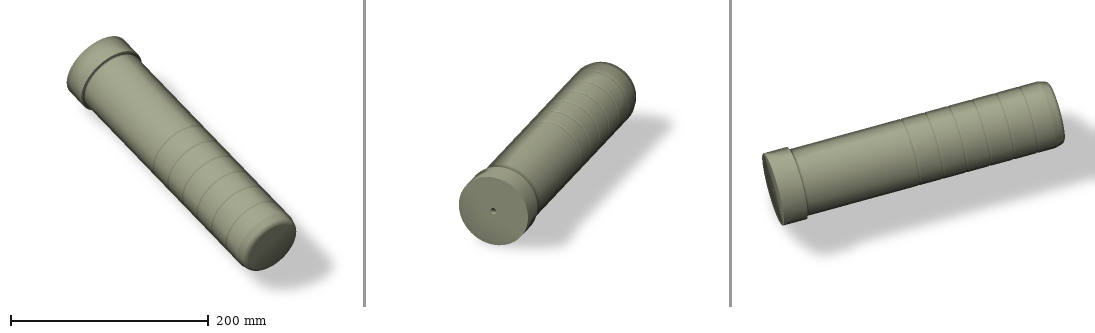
import cadquery as cq
import math

length = 300.0
head_diameter = 76.0
head_length = 25.0
body_diameter = 70.0

relief_width = 1.8
relief_depth = 1.0

groove_count = 6
first_groove_x = 144.5
groove_pitch = length / 12
groove_width = 3.0
groove_depth = 0.5

lead_length = 10.8
lead_angle = math.radians(15)
nose_radius = 5.0

centre_mouth_diameter = 6.5
centre_pilot_diameter = 3.3
centre_cone_angle = math.radians(60)
centre_pilot_depth = 4.0

head_radius = head_diameter / 2
body_radius = body_diameter / 2


def revolve_about_x(profile):
    """Turn a closed profile, drawn as X and radius, about the X axis."""
    return profile.close().revolve(360, (0, 0, 0), (1, 0, 0))


def make_pin():
    """Head, relief and body with its tapered and rounded tip."""
    relief_end = head_length + relief_width
    relief_radius = body_radius - relief_depth
    nose_x = length - nose_radius
    taper_start = length - lead_length
    taper_end = nose_x + nose_radius * math.sin(lead_angle)
    taper_end_radius = body_radius - (taper_end - taper_start) * math.tan(lead_angle)
    nose_centre_radius = taper_end_radius - nose_radius * math.cos(lead_angle)
    middle_angle = (lead_angle + math.pi / 2) / 2
    nose_middle = (
        nose_x + nose_radius * math.sin(middle_angle),
        nose_centre_radius + nose_radius * math.cos(middle_angle),
    )
    return revolve_about_x(
        cq.Workplane("XY")
        .lineTo(0, head_radius)
        .lineTo(head_length, head_radius)
        .lineTo(head_length, relief_radius)
        .lineTo(relief_end, relief_radius)
        .lineTo(relief_end, body_radius)
        .lineTo(taper_start, body_radius)
        .lineTo(taper_end, taper_end_radius)
        .threePointArc(nose_middle, (length, nose_centre_radius))
        .lineTo(length, 0)
    )


def make_groove(centre_x):
    """Ring of V section that cuts one groove into the body."""
    height_factor = 2
    half_width = height_factor * groove_width / 2
    bottom_radius = body_radius - groove_depth
    top_radius = bottom_radius + height_factor * groove_depth
    return revolve_about_x(
        cq.Workplane("XY")
        .moveTo(centre_x, bottom_radius)
        .lineTo(centre_x + half_width, top_radius)
        .lineTo(centre_x - half_width, top_radius)
    )


def make_centre_hole():
    """Conical countersink leading into a short pilot hole."""
    mouth_radius = centre_mouth_diameter / 2
    pilot_radius = centre_pilot_diameter / 2
    cone_depth = (mouth_radius - pilot_radius) / math.tan(centre_cone_angle / 2)
    hole_depth = cone_depth + centre_pilot_depth
    return revolve_about_x(
        cq.Workplane("XY")
        .lineTo(0, mouth_radius)
        .lineTo(cone_depth, pilot_radius)
        .lineTo(hole_depth, pilot_radius)
        .lineTo(hole_depth, 0)
    )


result = make_pin().cut(make_centre_hole())
for index in range(groove_count):
    result = result.cut(make_groove(first_groove_x + index * groove_pitch))